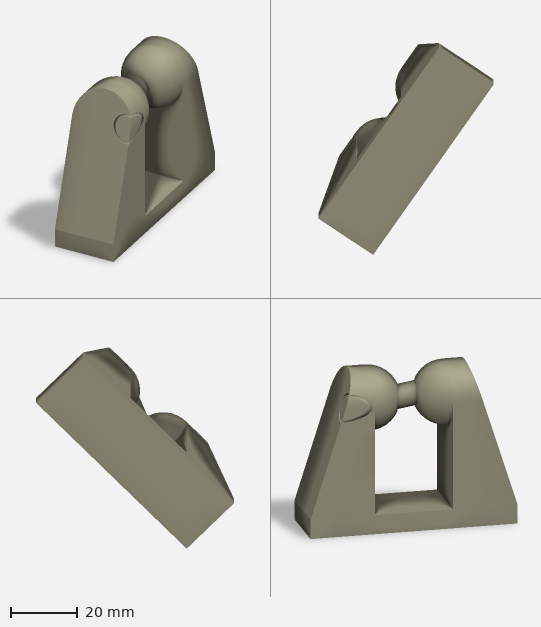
import cadquery as cq
import math

length = 64.0
width = 20.0
height = 50.0

base_thickness = 6.0
top_length = 36.0
tower_gap = 24.0
round_radius = width / 2
axis_height = height - round_radius

pin_diameter = 7.4
bore_diameter = 8.6
pin_angle = 22.5


def make_envelope():
    """Tapered block with a rounded top, without the opening between the towers."""
    side_profile = (
        cq.Workplane("YZ")
        .moveTo(-length / 2, 0)
        .lineTo(length / 2, 0)
        .lineTo(length / 2, base_thickness)
        .lineTo(top_length / 2, height)
        .lineTo(-top_length / 2, height)
        .lineTo(-length / 2, base_thickness)
        .close()
        .extrude(width / 2, both=True)
    )
    end_profile = (
        cq.Workplane("XZ")
        .moveTo(-width / 2, 0)
        .lineTo(width / 2, 0)
        .lineTo(width / 2, axis_height)
        .threePointArc((0, height), (-width / 2, axis_height))
        .close()
        .extrude(length / 2, both=True)
    )
    return side_profile.intersect(end_profile)


def make_half_ball(side):
    """Half ball on the inner face of the tower at +Y (side = 1) or -Y (side = -1)."""
    face_y = side * tower_gap / 2
    return (
        cq.Workplane("XY", origin=(0, face_y, axis_height))
        .moveTo(0, 0)
        .lineTo(round_radius, 0)
        .radiusArc((0, -side * round_radius), side * round_radius)
        .close()
        .revolve(360, (0, 0), (0, 1))
    )


def make_slanted_cylinder(diameter):
    """Cylinder along the pin axis, long enough to pass out of the block at both ends."""
    angle = math.radians(pin_angle)
    axis = cq.Vector(-math.sin(angle), math.cos(angle), 0)
    start = cq.Vector(0, 0, axis_height) - axis * (length / 2)
    solid = cq.Solid.makeCylinder(diameter / 2, length, start, axis)
    return cq.Workplane(obj=solid)


def make_bracket(envelope):
    """Base, towers and balls in one piece, bored for the pin."""
    opening = (
        cq.Workplane("XY")
        .workplane(offset=base_thickness)
        .rect(width, tower_gap)
        .extrude(height - base_thickness)
    )
    bracket = envelope.cut(opening)
    for side in (-1, 1):
        bracket = bracket.union(make_half_ball(side))
    return bracket.cut(make_slanted_cylinder(bore_diameter))


def make_pin(envelope):
    """Pin whose ends are trimmed flush with the outer faces of the bracket."""
    return make_slanted_cylinder(pin_diameter).intersect(envelope)


envelope = make_envelope()
bracket = make_bracket(envelope)
pin = make_pin(envelope)

result = cq.Compound.makeCompound([bracket.val(), pin.val()])